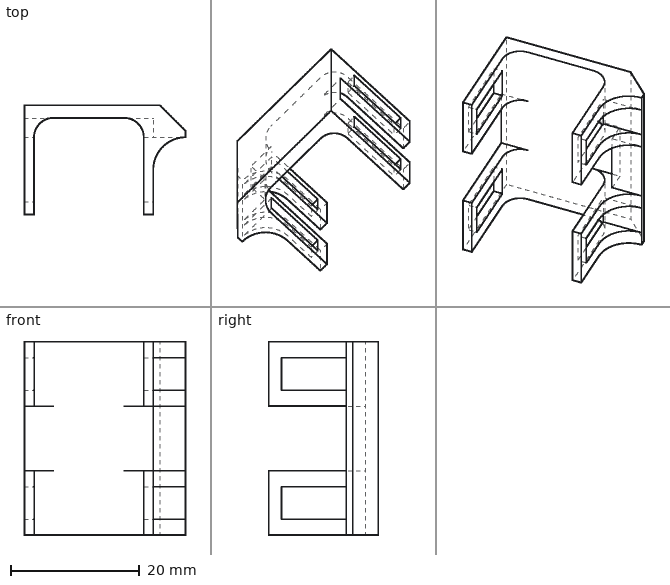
import cadquery as cq

HEIGHT = 30.0
DEPTH = 17.0
BODY_WIDTH = 20.0
HOOK_REACH = 5.0
BACK_THICKNESS = 2.0
LEG_THICKNESS = 1.5
INNER_RADIUS = 3.0
HOOK_CHAMFER = 4.0
HOOK_THICKNESS = 5.0

BAND_COUNT = 3
WINDOW_LENGTH = 10.0
WINDOW_HEIGHT = 5.0

TOTAL_WIDTH = BODY_WIDTH + HOOK_REACH
BAND_HEIGHT = HEIGHT / BAND_COUNT
HOOK_RADIUS = HOOK_REACH
BACK_Y = DEPTH
BACK_INNER_Y = BACK_Y - BACK_THICKNESS
HOOK_FRONT_Y = BACK_Y - HOOK_THICKNESS


def box(x_min, x_max, y_min, y_max, z_min, z_max):
    """Axis-aligned box between the given limits."""
    size = (x_max - x_min, y_max - y_min, z_max - z_min)
    return cq.Workplane("XY").box(*size, centered=False).translate((x_min, y_min, z_min))


def make_body():
    """U-shaped channel with a hook on its right side, extruded over the full height."""
    left_inner_x = LEG_THICKNESS
    right_inner_x = BODY_WIDTH - LEG_THICKNESS
    fillet_start_y = BACK_INNER_Y - INNER_RADIUS
    return (
        cq.Workplane("XY")
        .moveTo(0, 0)
        .lineTo(left_inner_x, 0)
        .lineTo(left_inner_x, fillet_start_y)
        .radiusArc((left_inner_x + INNER_RADIUS, BACK_INNER_Y), INNER_RADIUS)
        .lineTo(right_inner_x - INNER_RADIUS, BACK_INNER_Y)
        .radiusArc((right_inner_x, fillet_start_y), INNER_RADIUS)
        .lineTo(right_inner_x, 0)
        .lineTo(BODY_WIDTH, 0)
        .lineTo(BODY_WIDTH, HOOK_FRONT_Y - HOOK_RADIUS)
        .radiusArc((TOTAL_WIDTH, HOOK_FRONT_Y), HOOK_RADIUS)
        .lineTo(TOTAL_WIDTH, BACK_Y - HOOK_CHAMFER)
        .lineTo(TOTAL_WIDTH - HOOK_CHAMFER, BACK_Y)
        .lineTo(0, BACK_Y)
        .close()
        .extrude(HEIGHT)
    )


def make_middle_gap():
    """Space that splits each leg in two, leaving the back plate and the hook block."""
    z_min = BAND_HEIGHT
    z_max = HEIGHT - BAND_HEIGHT
    between_legs = box(0, BODY_WIDTH, 0, BACK_INNER_Y, z_min, z_max)
    under_hook = box(BODY_WIDTH, TOTAL_WIDTH, 0, HOOK_FRONT_Y, z_min, z_max)
    return between_legs.union(under_hook)


def make_window(center_z):
    """Rectangular opening through both legs, which also flattens the hook's curved underside."""
    half_height = WINDOW_HEIGHT / 2
    return box(
        0, TOTAL_WIDTH,
        HOOK_FRONT_Y - WINDOW_LENGTH, HOOK_FRONT_Y,
        center_z - half_height, center_z + half_height,
    )


result = make_body().cut(make_middle_gap())
for window_z in (BAND_HEIGHT / 2, HEIGHT - BAND_HEIGHT / 2):
    result = result.cut(make_window(window_z))